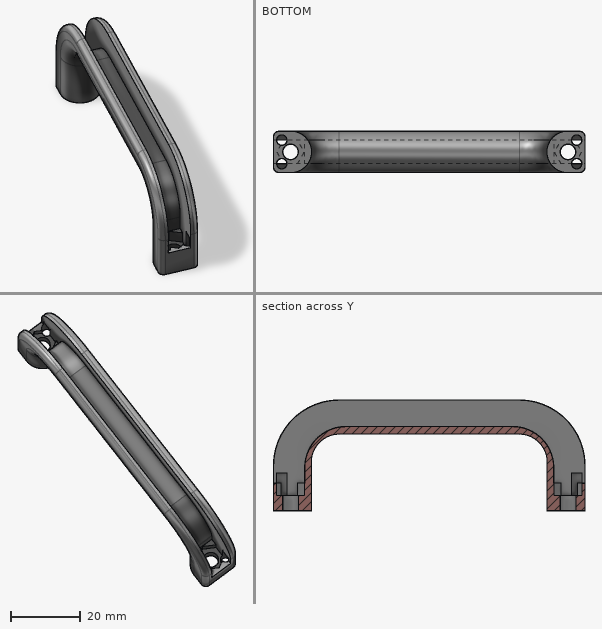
import cadquery as cq
import math

length = 90.0
width = 12.0
height = 32.0

leg_band = 5.0
bar_band = 4.0
outer_bend_radius = 19.0
edge_radius = 1.6
inner_round_radius = width / 2

channel_width = 6.8
channel_leg_depth = 9.0
channel_bar_depth = 7.65
channel_bend_radius = 12.0
channel_bottom_z = 8.0

bolt_inset = 4.95
bolt_diameter = 4.4
nut_corner_diameter = channel_width / math.cos(math.radians(30))
nut_recess_depth = 3.5
pin_inset = 2.4
pin_diameter = 3.0
pin_hole_top_z = 11.0

half_length = length / 2
band_bend_radius = outer_bend_radius - leg_band


def arch(half_span, top_z, bend_radius, base_z):
    """Open path up one leg, over both bends and down the other leg."""
    straight_half = half_span - bend_radius
    bend_z = top_z - bend_radius
    return (
        cq.Workplane("XZ")
        .moveTo(-half_span, base_z)
        .lineTo(-half_span, bend_z)
        .radiusArc((-straight_half, top_z), bend_radius)
        .lineTo(straight_half, top_z)
        .radiusArc((half_span, bend_z), bend_radius)
        .lineTo(half_span, base_z)
    )


def arch_solid(half_span, top_z, bend_radius, base_z, depth):
    """Filled arch, centred on the XZ plane."""
    return arch(half_span, top_z, bend_radius, base_z).close().extrude(depth / 2, both=True)


def outer_band():
    """Flat-sided band with rounded outer edges."""
    block = arch_solid(half_length, height, outer_bend_radius, 0, width)
    block = block.faces("<Y or >Y").edges("not <Z").fillet(edge_radius)
    opening = arch_solid(half_length - leg_band, height - bar_band, band_bend_radius, 0, width)
    return block.cut(opening)


def inner_round():
    """Half-round side swept along the inner face of the band."""
    half_span = half_length - leg_band
    path = arch(half_span, height - bar_band, band_bend_radius, 0)
    return (
        cq.Workplane("XY")
        .moveTo(-half_span, -inner_round_radius)
        .threePointArc((-half_span + inner_round_radius, 0), (-half_span, inner_round_radius))
        .close()
        .sweep(path)
    )


def channel():
    """Cutter that leaves the arched channel floor and a solid foot in each leg."""
    cutter = cq.Workplane("XY").box(length, channel_width, height - channel_bottom_z)
    cutter = cutter.translate((0, 0, (height + channel_bottom_z) / 2))
    floor = arch_solid(
        half_length - channel_leg_depth,
        height - channel_bar_depth,
        channel_bend_radius,
        channel_bottom_z,
        channel_width,
    )
    return cutter.cut(floor)


def leg_fastening(side):
    """Bolt hole, nut recess and two pin holes; side is -1 or 1."""
    bolt_x = side * (half_length - bolt_inset)
    pin_x = side * (half_length - pin_inset)
    bolt = cq.Workplane("XY").center(bolt_x, 0).circle(bolt_diameter / 2).extrude(channel_bottom_z)
    nut = (
        cq.Workplane("XY", origin=(bolt_x, 0, channel_bottom_z))
        .polygon(6, nut_corner_diameter)
        .extrude(-nut_recess_depth)
    )
    pins = (
        cq.Workplane("XY")
        .pushPoints([(pin_x, -channel_width / 2), (pin_x, channel_width / 2)])
        .circle(pin_diameter / 2)
        .extrude(pin_hole_top_z)
    )
    return bolt.union(nut).union(pins)


result = outer_band().union(inner_round()).cut(channel())
for leg_side in (-1, 1):
    result = result.cut(leg_fastening(leg_side))